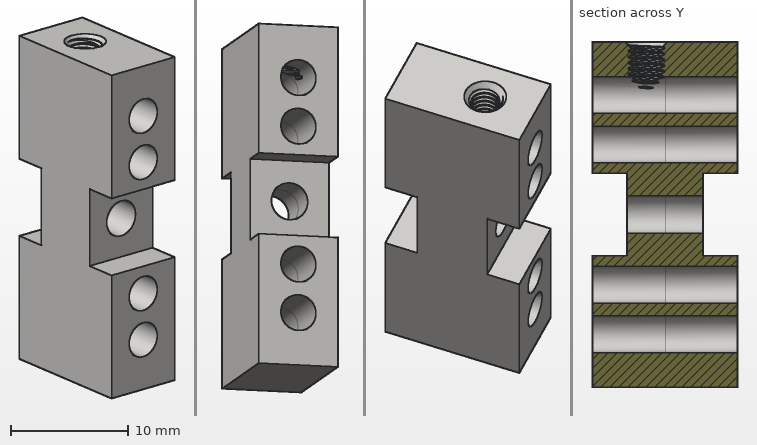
import cadquery as cq
import math

width = 12.4
thickness = 7.0
height = 29.48

neck_width = 6.5
notch_height = 7.02

center_hole_diameter = 3.18
outer_hole_diameter = 3.1
inner_hole_offset = 5.98
outer_hole_offset = 10.2

thread_x = -1.6
thread_minor_diameter = 2.45
thread_major_diameter = 3.07
thread_pitch = 0.5
countersink_diameter = 3.6
countersink_angle = 90.0
cut_margin = 0.15
groove_root_width = thread_pitch / 8
groove_mouth_width = thread_pitch * 0.8
groove_overlap = 0.05


def cut_notches(body):
    notch_depth = (width - neck_width) / 2
    for side in (-1, 1):
        notch_x = side * (width - notch_depth) / 2
        notch = cq.Workplane("XY").box(notch_depth, thickness, notch_height)
        body = body.cut(notch.translate((notch_x, 0, 0)))
    return body


def cross_hole(z, diameter):
    return (
        cq.Workplane("YZ", origin=(0, 0, z))
        .circle(diameter / 2)
        .extrude(width / 2, both=True)
    )


def thread_groove(bottom_z, length):
    """Helical trapezoidal groove just outside the threaded bore."""
    minor_radius = thread_minor_diameter / 2
    major_radius = thread_major_diameter / 2
    inner_radius = minor_radius - groove_overlap
    path = cq.Wire.makeHelix(thread_pitch, length, minor_radius)
    profile = cq.Workplane("XZ").polyline([
        (inner_radius, -groove_mouth_width / 2),
        (major_radius, -groove_root_width / 2),
        (major_radius, groove_root_width / 2),
        (inner_radius, groove_mouth_width / 2),
    ]).close()
    groove = profile.sweep(cq.Workplane(obj=path), isFrenet=True)
    return groove.translate((thread_x, 0, bottom_z))


def countersink():
    """Cone through the top face, extended past both ends for a clean cut."""
    bore_radius = thread_minor_diameter / 2
    rim_radius = countersink_diameter / 2
    slope = math.tan(math.radians(countersink_angle / 2))
    depth = (rim_radius - bore_radius) / slope
    cone = cq.Solid.makeCone(
        bore_radius - cut_margin * slope,
        rim_radius + cut_margin * slope,
        depth + 2 * cut_margin,
        pnt=cq.Vector(thread_x, 0, height / 2 - depth - cut_margin),
    )
    return cq.Workplane(obj=cone)


def cut_threaded_hole(body):
    bore_depth = height / 2 - outer_hole_offset
    bore = (
        cq.Workplane("XY", origin=(thread_x, 0, outer_hole_offset))
        .circle(thread_minor_diameter / 2)
        .extrude(bore_depth + 3 * thread_pitch)
    )
    groove = thread_groove(outer_hole_offset + thread_pitch, bore_depth + thread_pitch)
    tap = bore.union(groove, clean=False)
    return body.cut(tap, clean=False).cut(countersink(), clean=False)


body = cut_notches(cq.Workplane("XY").box(width, thickness, height))
body = body.cut(cross_hole(0, center_hole_diameter))
for side in (-1, 1):
    for offset in (inner_hole_offset, outer_hole_offset):
        body = body.cut(cross_hole(side * offset, outer_hole_diameter))

result = cut_threaded_hole(body)